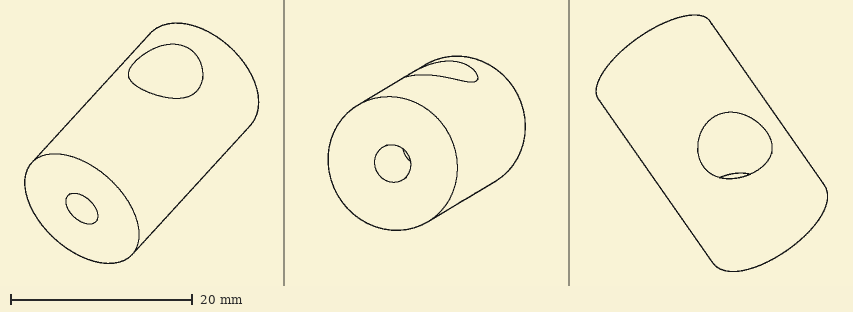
import cadquery as cq
import math

length = 25.0
body_diameter = 15.0
end_fillet = 1.0

cross_hole_diameter = 8.2
cross_hole_from_rounded_end = 8.0

drill_diameter = 4.2
drill_depth = 10.0
drill_tip_angle = 118.0


def make_body():
    """Cylinder with its +Y end rounded."""
    cylinder = cq.Workplane("XZ").circle(body_diameter / 2).extrude(-length)
    return cylinder.faces(">Y").edges().fillet(end_fillet)


def make_cross_hole():
    """Cutter passing right through the body along Z."""
    center_y = length - cross_hole_from_rounded_end
    return (
        cq.Workplane("XY")
        .center(0, center_y)
        .circle(cross_hole_diameter / 2)
        .extrude(body_diameter / 2, both=True)
    )


def make_drilled_hole():
    """Cutter along the axis: half profile revolved about Y."""
    radius = drill_diameter / 2
    tip_length = radius / math.tan(math.radians(drill_tip_angle / 2))
    return (
        cq.Workplane("XY")
        .moveTo(0, 0)
        .lineTo(radius, 0)
        .lineTo(radius, drill_depth)
        .lineTo(0, drill_depth + tip_length)
        .close()
        .revolve(360, (0, 0, 0), (0, 1, 0))
    )


result = make_body().cut(make_cross_hole()).cut(make_drilled_hole())